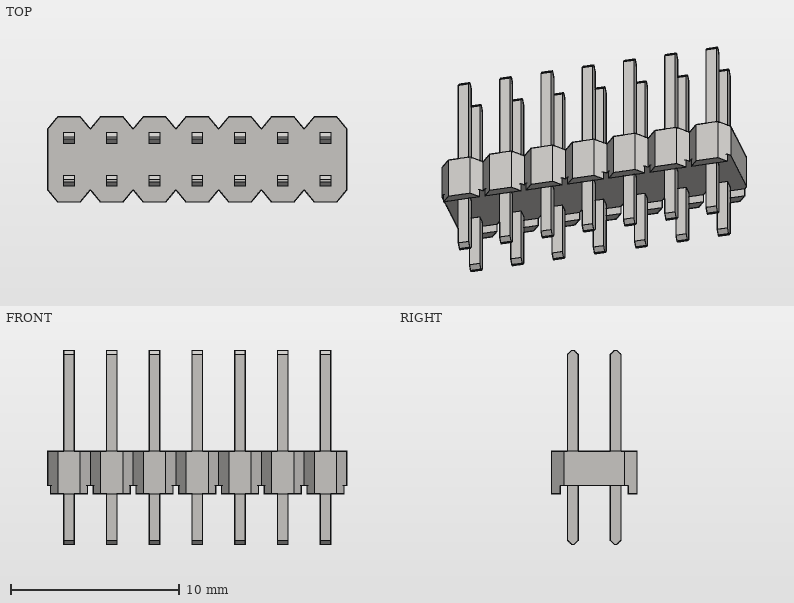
import cadquery as cq

columns = 7
rows = 2
body_length = 17.79
pitch = body_length / columns
body_width = rows * pitch
body_height = pitch

bevel_x = 0.6
bevel_y = 0.73

foot_depth = 0.53
foot_height = 0.5

pin_width = 0.64
pin_above = 6.0
pin_below = 3.0
tip_bevel = 0.25


def cell_centers(count):
    """Centres of evenly pitched cells, symmetric about zero."""
    return [(i - (count - 1) / 2) * pitch for i in range(count)]


def make_body():
    """Row of cells with bevelled corners, which meet in V notches on the long sides."""
    half_length = body_length / 2
    half_width = body_width / 2
    shoulder = half_width - bevel_y
    front_edge = [(-half_length, -shoulder)]
    for x in cell_centers(columns):
        front_edge.append((x - pitch / 2 + bevel_x, -half_width))
        front_edge.append((x + pitch / 2 - bevel_x, -half_width))
        front_edge.append((x + pitch / 2, -shoulder))
    back_edge = [(-x, -y) for x, y in front_edge]
    return cq.Workplane("XY").polyline(front_edge + back_edge).close().extrude(body_height)


def make_channel():
    """Full-length relief in the underside, between the two rows of feet."""
    channel_width = body_width - 2 * foot_depth
    return cq.Workplane("XY").box(body_length, channel_width, foot_height, centered=(True, True, False))


def make_pin(x, y):
    """Square pin whose two ends are bevelled towards +Y and -Y."""
    pin_length = pin_below + body_height + pin_above
    return (
        cq.Workplane("XY")
        .box(pin_width, pin_width, pin_length, centered=(True, True, False))
        .edges("|X")
        .chamfer(tip_bevel)
        .translate((x, y, -pin_below))
    )


result = make_body().cut(make_channel())
for pin_x in cell_centers(columns):
    for pin_y in cell_centers(rows):
        result = result.union(make_pin(pin_x, pin_y))